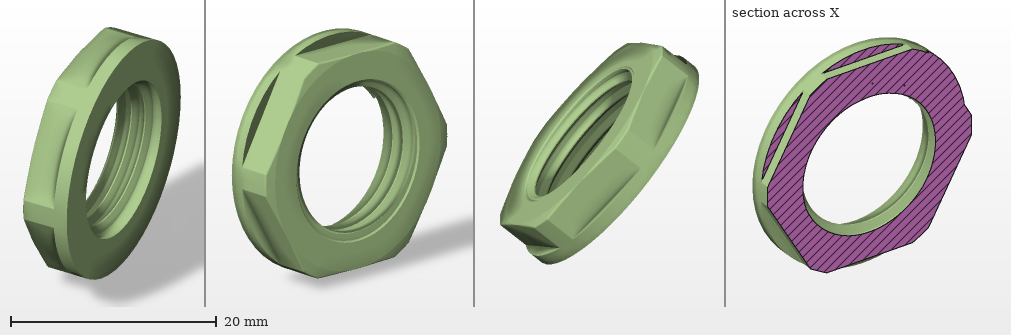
import cadquery as cq
import math

LENGTH = 5.0
FLANGE_DIA = 24.21
FLANGE_THICKNESS = 1.43

ACROSS_FLATS = 22.0
HEX_SIDES = 6
HEX_HEIGHT = LENGTH - FLANGE_THICKNESS
FLAT_TO_BEVEL_GAP = 0.01
BEVEL_ANGLE = 10.0
EDGE_RADIUS = 0.2

BORE_DIA = 16.02
CREST_DIA = 14.5
PITCH = 1.5
CREST_WIDTH = 0.12
FLANK_ANGLE = 30.0
ENTRY_CHAMFER = 0.16
RIDGE_START = -1.28
RIDGE_END = 4.2
RIDGE_ROOT_OVERLAP = 0.1


def cylinder_x(diameter, start, end):
    """Solid cylinder on the X axis between two X positions."""
    return cq.Workplane("YZ").workplane(offset=start).circle(diameter / 2).extrude(end - start)


def revolve_x(outline):
    """Solid of revolution about X from (x, radius) points."""
    return cq.Workplane("XY").polyline(outline).close().revolve(360, (0, 0, 0), (1, 0, 0))


def make_wrench_body():
    """Hexagon with its corners cut to the flange diameter and a shallow conical front."""
    across_corners = ACROSS_FLATS / math.cos(math.pi / HEX_SIDES)
    hexagon = cq.Workplane("YZ").polygon(HEX_SIDES, across_corners).extrude(HEX_HEIGHT)
    body = hexagon.intersect(cylinder_x(FLANGE_DIA, 0, HEX_HEIGHT))
    body = body.edges("|X").fillet(EDGE_RADIUS)

    start_radius = ACROSS_FLATS / 2 - FLAT_TO_BEVEL_GAP
    end_radius = start_radius + HEX_HEIGHT / math.tan(math.radians(BEVEL_ANGLE))
    bevel_cone = revolve_x([(0, 0), (0, start_radius), (HEX_HEIGHT, end_radius), (HEX_HEIGHT, 0)])
    body = body.intersect(bevel_cone)

    return body.faces("%CONE").edges("not <X").fillet(EDGE_RADIUS)


def make_bore():
    """Plain bore with a 45 degree entry chamfer at the wrench end."""
    radius = BORE_DIA / 2
    return revolve_x(
        [
            (0, 0),
            (0, radius + ENTRY_CHAMFER),
            (ENTRY_CHAMFER, radius),
            (LENGTH, radius),
            (LENGTH, 0),
        ]
    )


def make_thread_ridge():
    """Helical ridge of trapezoid section, cut square where the entry chamfer ends."""
    crest_radius = CREST_DIA / 2
    root_radius = BORE_DIA / 2 + RIDGE_ROOT_OVERLAP
    half_crest = CREST_WIDTH / 2
    half_root = half_crest + (root_radius - crest_radius) * math.tan(math.radians(FLANK_ANGLE))
    section = [
        (crest_radius, -half_crest),
        (root_radius, -half_root),
        (root_radius, half_root),
        (crest_radius, half_crest),
    ]

    helix = cq.Wire.makeHelix(PITCH, RIDGE_END - RIDGE_START, crest_radius)
    ridge = cq.Workplane("XZ").polyline(section).close().sweep(cq.Workplane(helix), isFrenet=True)
    ridge = ridge.rotate((0, 0, 0), (0, 1, 0), 90).translate((RIDGE_START, 0, 0))
    return ridge.intersect(cylinder_x(FLANGE_DIA, ENTRY_CHAMFER, LENGTH))


flange = cylinder_x(FLANGE_DIA, HEX_HEIGHT, LENGTH)
blank = make_wrench_body().union(flange)
threaded = blank.cut(make_bore()).union(make_thread_ridge())
result = cq.Workplane(threaded.solids().val())